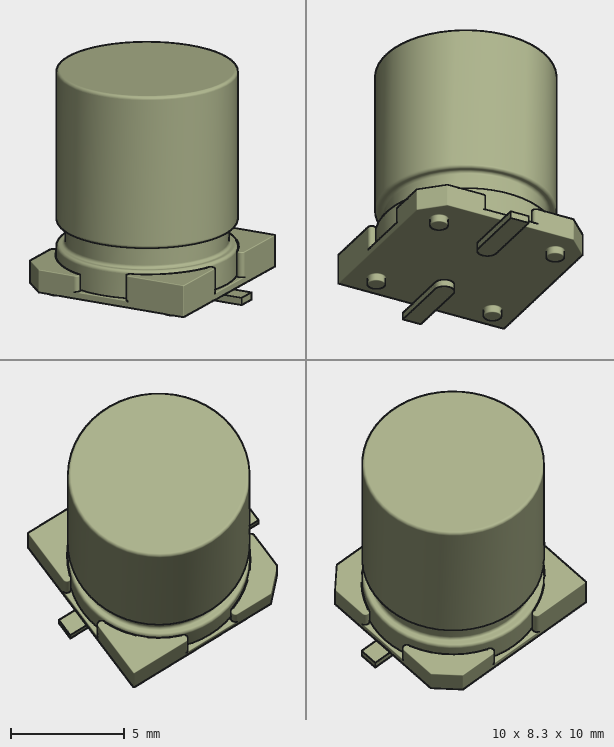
import cadquery as cq
import math

total_length = 10.0
total_height = 10.0
base_width = 8.3

base_bottom = 0.34
plate_top = 0.67
low_block_top = 1.4
tall_block_top = 1.82
corner_cut = 1.0
edge_radius = 0.04
block_tip_radius = 0.19

can_radius = 8.0 / 2
groove_radius = 7.2 / 2
groove_bottom = 1.95
groove_top = 2.97
roll_radius = 0.15

lead_width = 0.9
lead_inner_end = 1.55

foot_radius = 0.8 / 2
foot_offset = 2.9
foot_edge_radius = 0.04


def base_outline(bottom, height):
    """Square prism with the two -X corners cut off and all upright edges rounded."""
    return (
        cq.Workplane("XY", origin=(0, 0, bottom))
        .rect(base_width, base_width)
        .extrude(height)
        .edges("|Z and <X")
        .chamfer(corner_cut)
        .edges("|Z")
        .fillet(edge_radius)
    )


def make_plate():
    plate = base_outline(base_bottom, plate_top - base_bottom)
    return plate.faces("<Z or >Z").edges().fillet(edge_radius)


def make_corner_block(x_side, y_side, top):
    """Corner of the base left outside the can, with rounded tips and a rounded top edge."""
    bottom = base_bottom + edge_radius
    height = top - bottom
    half_width = base_width / 2

    tip_centre_depth = half_width - block_tip_radius
    tip_start = math.sqrt((can_radius + block_tip_radius) ** 2 - tip_centre_depth**2)
    block_width = half_width - tip_start
    block_centre = tip_start + block_width / 2
    corner_zone = (
        cq.Workplane("XY", origin=(x_side * block_centre, y_side * block_centre, bottom))
        .rect(block_width, block_width)
        .extrude(height)
    )
    can_space = cq.Workplane("XY", origin=(0, 0, bottom)).circle(can_radius).extrude(height)
    body = base_outline(bottom, height).intersect(corner_zone).cut(can_space)
    tip_spots = [
        (x_side * tip_start, y_side * tip_centre_depth),
        (x_side * tip_centre_depth, y_side * tip_start),
    ]
    tips = (
        cq.Workplane("XY", origin=(0, 0, bottom))
        .pushPoints(tip_spots)
        .circle(block_tip_radius)
        .extrude(height)
    )
    return body.union(tips).faces(">Z").edges().fillet(edge_radius)


def make_can():
    profile = (
        cq.Workplane("XZ")
        .moveTo(0, plate_top)
        .lineTo(can_radius, plate_top)
        .lineTo(can_radius, groove_bottom)
        .lineTo(groove_radius, groove_bottom)
        .lineTo(groove_radius, groove_top)
        .lineTo(can_radius, groove_top)
        .lineTo(can_radius, total_height)
        .lineTo(0, total_height)
        .close()
    )
    can = profile.revolve(360, (0, 0, 0), (0, 1, 0))
    return can.edges("%CIRCLE and (not <Z)").fillet(roll_radius)


def make_lead(side):
    round_centre = lead_inner_end + lead_width / 2
    strip_length = total_length / 2 - round_centre
    strip = (
        cq.Workplane("XY")
        .center(side * (round_centre + strip_length / 2), 0)
        .rect(strip_length, lead_width)
        .extrude(base_bottom)
    )
    round_end = (
        cq.Workplane("XY")
        .center(side * round_centre, 0)
        .circle(lead_width / 2)
        .extrude(base_bottom)
    )
    return strip.union(round_end)


def make_feet():
    """Turned feet: rounded at the ground edge and flared into the base."""
    flare_start = base_bottom - foot_edge_radius
    profile = (
        cq.Workplane("XZ")
        .lineTo(foot_radius - foot_edge_radius, 0)
        .radiusArc((foot_radius, foot_edge_radius), -foot_edge_radius)
        .lineTo(foot_radius, flare_start)
        .radiusArc((foot_radius + foot_edge_radius, base_bottom), foot_edge_radius)
        .lineTo(0, base_bottom)
        .close()
    )
    foot = profile.revolve(360, (0, 0, 0), (0, 1, 0)).val()
    return (
        cq.Workplane("XY")
        .rect(2 * foot_offset, 2 * foot_offset, forConstruction=True)
        .vertices()
        .eachpoint(lambda spot: foot.moved(spot))
    )


part = make_plate().union(make_can())
for y_side in (-1, 1):
    part = part.union(make_corner_block(-1, y_side, low_block_top))
    part = part.union(make_corner_block(1, y_side, tall_block_top))
for lead_side in (-1, 1):
    part = part.union(make_lead(lead_side))
part = part.union(make_feet())

result = part.solids()